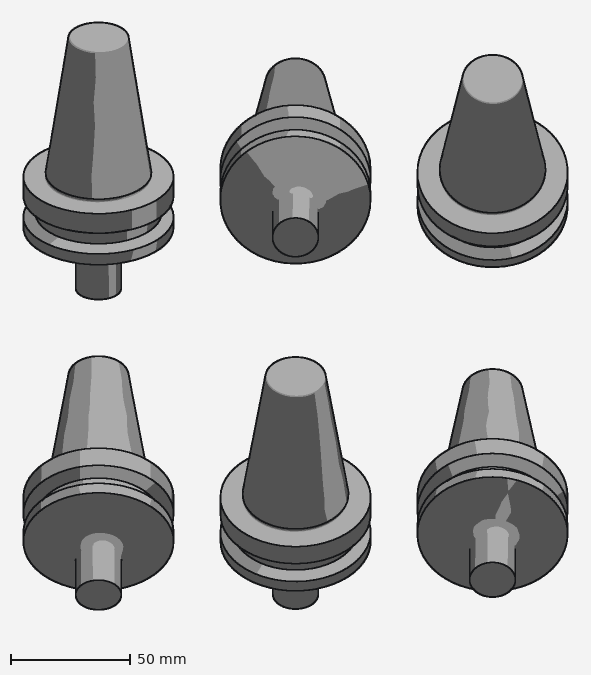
import cadquery as cq
import math

total_height = 121.4
flange_diameter = 63.0
groove_diameter = 53.0
gauge_diameter = 44.4
neck_diameter = 44.0
stem_diameter = 19.2

stem_top = 19.3
flange_bottom = 29.4
lower_rim_top = 34.6
groove_floor_bottom = 36.7
groove_floor_top = 41.8
upper_rim_bottom = 44.5
flange_top = 54.0
neck_top = 54.9
gauge_height = 55.7

taper_ratio = 7 / 24
stem_fillet = 4.9
tip_fillet = 0.8
neck_fillet = 0.5

flange_radius = flange_diameter / 2
groove_radius = groove_diameter / 2
gauge_radius = gauge_diameter / 2
neck_radius = neck_diameter / 2
stem_radius = stem_diameter / 2
tip_radius = gauge_radius - (total_height - gauge_height) * taper_ratio / 2

fillet_center_x = stem_radius + stem_fillet
run = flange_radius - fillet_center_x
rise = flange_bottom - stem_top
tangent_angle = math.atan2(rise, run) + math.acos(stem_fillet / math.hypot(run, rise))


def fillet_point(angle):
    """Point on the stem fillet at an angle measured from the +X direction."""
    return (
        fillet_center_x + stem_fillet * math.cos(angle),
        stem_top + stem_fillet * math.sin(angle),
    )


profile = (
    cq.Workplane("XZ")
    .moveTo(0, 0)
    .lineTo(stem_radius, 0)
    .lineTo(stem_radius, stem_top)
    .threePointArc(fillet_point((math.pi + tangent_angle) / 2), fillet_point(tangent_angle))
    .lineTo(flange_radius, flange_bottom)
    .lineTo(flange_radius, lower_rim_top)
    .lineTo(groove_radius, groove_floor_bottom)
    .lineTo(groove_radius, groove_floor_top)
    .lineTo(flange_radius, upper_rim_bottom)
    .lineTo(flange_radius, flange_top)
    .lineTo(neck_radius + neck_fillet, flange_top)
    .radiusArc((neck_radius, flange_top + neck_fillet), neck_fillet)
    .lineTo(neck_radius, neck_top)
    .lineTo(gauge_radius, gauge_height)
    .lineTo(tip_radius, total_height)
    .lineTo(0, total_height)
    .close()
)
body = profile.revolve(360, (0, 0, 0), (0, 1, 0))

body = body.faces(">Z").edges().fillet(tip_fillet)

result = body